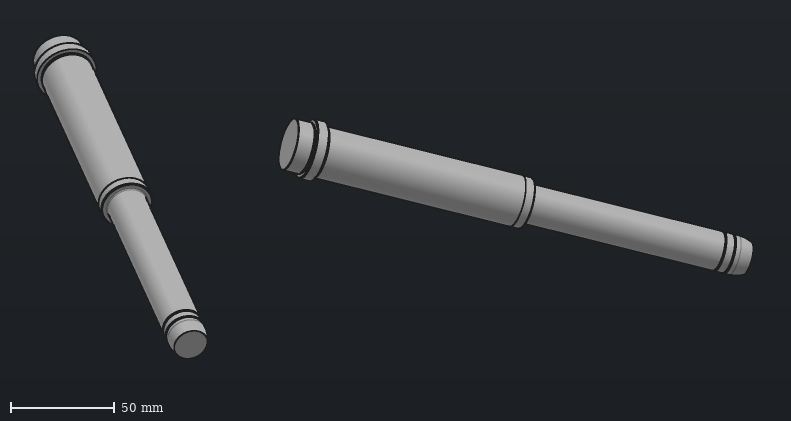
import cadquery as cq

length = 240.0

body_radius = 26.0 / 2
collar_radius = 30.0 / 2
shank_radius = 20.0 / 2
nose_end_radius = 8.5

collar_start = 9.0
collar_end = 15.0
body_end = 124.0
nose_start = 232.8

head_chamfer = 0.2
collar_chamfer = 0.5
body_chamfer = 0.5
shank_root_fillet = 0.5

lead_length = 5.0
lead_undersize = 0.07

front_relief_width = 0.7
front_relief_depth = 0.5
back_relief_width = 1.5
back_relief_depth = 0.15

shank_groove_starts = (224.6, 229.7)
shank_groove_width = 0.7
shank_groove_depth = 0.2

front_relief_start = collar_start - front_relief_width
lead_start = body_end - lead_length
lead_radius = body_radius - lead_undersize


def make_pin():
    """Revolved pin without its shallow grooves; the nose arc leaves the shank tangentially."""
    profile = (
        cq.Workplane("XY")
        .lineTo(0, body_radius - head_chamfer)
        .lineTo(head_chamfer, body_radius)
        .lineTo(collar_start, body_radius)
        .lineTo(collar_start, collar_radius - collar_chamfer)
        .lineTo(collar_start + collar_chamfer, collar_radius)
        .lineTo(collar_end, collar_radius)
        .lineTo(collar_end, body_radius)
        .lineTo(lead_start, body_radius)
        .lineTo(lead_start, lead_radius)
        .lineTo(body_end - body_chamfer, lead_radius)
        .lineTo(body_end, lead_radius - body_chamfer)
        .lineTo(body_end, shank_radius + shank_root_fillet)
        .tangentArcPoint((body_end + shank_root_fillet, shank_radius), relative=False)
        .lineTo(nose_start, shank_radius)
        .tangentArcPoint((length, nose_end_radius), relative=False)
        .lineTo(length, 0)
        .close()
    )
    return profile.revolve(360, (0, 0, 0), (1, 0, 0))


def groove_cutter(start, width, surface_radius, depth):
    """Ring about the X axis that removes one shallow groove."""
    return (
        cq.Workplane("YZ", origin=(start, 0, 0))
        .circle(surface_radius)
        .circle(surface_radius - depth)
        .extrude(width)
    )


result = (
    make_pin()
    .cut(groove_cutter(front_relief_start, front_relief_width, body_radius, front_relief_depth))
    .cut(groove_cutter(collar_end, back_relief_width, body_radius, back_relief_depth))
)
for groove_start in shank_groove_starts:
    result = result.cut(
        groove_cutter(groove_start, shank_groove_width, shank_radius, shank_groove_depth)
    )